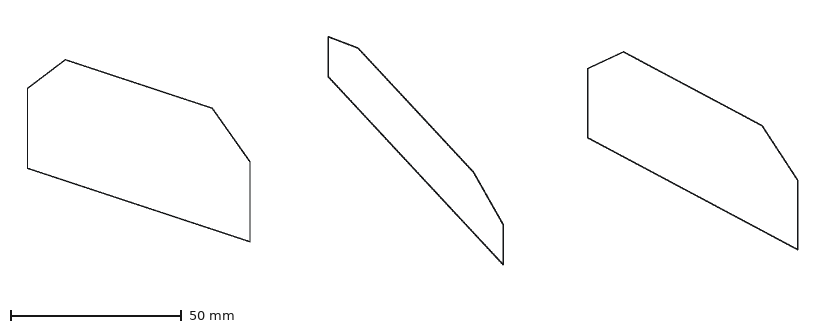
import cadquery as cq

length = 80.0
thickness = 0.15
height = 40.0
corner_cut = 13.6

plate = cq.Workplane("XY").box(length, thickness, height)

result = plate.faces(">Z").edges("|Y").chamfer(corner_cut)